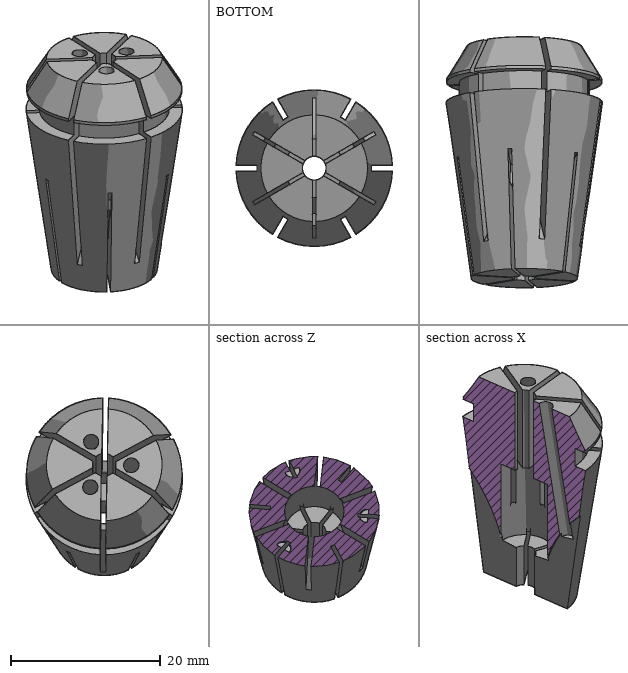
import cadquery as cq
import math

length = 31.5
taper_height = 23.9
taper_angle = 8.0
taper_large_diameter = 21.0
taper_large_radius = taper_large_diameter / 2
taper_small_radius = taper_large_radius - taper_height * math.tan(math.radians(taper_angle))
groove_width = 2.77
groove_radius = 8.73
rim_width = 0.4
rim_radius = 10.43
nose_face_radius = 7.75

bore_radius = 1.58
hollow_radius = 3.95
hollow_bottom = 6.3
hollow_top = 18.9
hollow_floor_slope = 5.0

slots_per_end = 6
slot_pitch = 360.0 / slots_per_end
saw_radius = 22.05
slot_clear_radius = taper_large_radius + 0.3
nose_slot_width = 0.75
nose_slot_end = 4.0
nose_slot_hollow_end = 11.95
tail_slot_width = 0.5
tail_slot_end = 15.97
tail_slot_hollow_end = 7.05

hole_count = 3
hole_radius = 1.0
hole_circle_radius = 3.62
hole_lean = 10.0
hole_depth = 20.32
hole_first_angle = 90.0


def taper_radius_at(z):
    return taper_small_radius + z * math.tan(math.radians(taper_angle))


def turned(profile):
    """Solid of revolution about Z from (radius, z) points."""
    return cq.Workplane("XZ").polyline(profile).close().revolve(360, (0, 0, 0), (0, 1, 0))


def around_axis(shape, count, first_angle):
    """Copies of a shape evenly spaced around Z."""
    pitch = 360.0 / count
    return [shape.rotate((0, 0, 0), (0, 0, 1), first_angle + i * pitch) for i in range(count)]


def saw_arc_middle(inner, outer):
    """Middle of the saw arc between two (radius, z) points; the arc bulges toward the axis."""
    run = outer[0] - inner[0]
    rise = outer[1] - inner[1]
    chord = math.hypot(run, rise)
    bulge = saw_radius - math.sqrt(saw_radius**2 - (chord / 2) ** 2)
    middle_x = (inner[0] + outer[0]) / 2 - bulge * abs(rise) / chord
    middle_z = (inner[1] + outer[1]) / 2 + bulge * math.copysign(run, rise) / chord
    return middle_x, middle_z


def make_body():
    groove_top = taper_height + groove_width
    return turned(
        [
            (bore_radius, 0),
            (taper_small_radius, 0),
            (taper_large_radius, taper_height),
            (groove_radius, taper_height),
            (groove_radius, groove_top),
            (rim_radius, groove_top),
            (rim_radius, groove_top + rim_width),
            (nose_face_radius, length),
            (bore_radius, length),
        ]
    )


def make_hollow():
    floor_rise = (hollow_radius - bore_radius) * math.tan(math.radians(hollow_floor_slope))
    return turned(
        [
            (0, hollow_bottom),
            (bore_radius, hollow_bottom),
            (hollow_radius, hollow_bottom + floor_rise),
            (hollow_radius, hollow_top),
            (0, hollow_top),
        ]
    )


def make_slot(width, outer_end, hollow_end, open_end):
    """Radial slot along +X whose closed end is a saw arc from the hollow to the taper."""
    inner = (hollow_radius, hollow_end)
    outer = (taper_radius_at(outer_end), outer_end)
    return (
        cq.Workplane("XZ")
        .moveTo(0, hollow_end)
        .lineTo(*inner)
        .threePointArc(saw_arc_middle(inner, outer), outer)
        .lineTo(slot_clear_radius, outer_end)
        .lineTo(slot_clear_radius, open_end)
        .lineTo(0, open_end)
        .close()
        .extrude(width / 2, both=True)
    )


def make_hole():
    """Leaning hole above +X; it also runs upward past the nose face so that it opens cleanly."""
    top = cq.Plane(
        origin=(hole_circle_radius, 0, length),
        xDir=(-1, 0, 0),
        normal=(0, 0, 1),
    ).rotated((0, hole_lean, 0))
    return cq.Workplane(top).circle(hole_radius).extrude(hole_depth, both=True)


body = make_body().cut(make_hollow())

nose_slot = make_slot(nose_slot_width, nose_slot_end, nose_slot_hollow_end, length)
for slot in around_axis(nose_slot, slots_per_end, 0):
    body = body.cut(slot)

tail_slot = make_slot(tail_slot_width, tail_slot_end, tail_slot_hollow_end, 0)
for slot in around_axis(tail_slot, slots_per_end, slot_pitch / 2):
    body = body.cut(slot)

for hole in around_axis(make_hole(), hole_count, hole_first_angle):
    body = body.cut(hole)

result = body